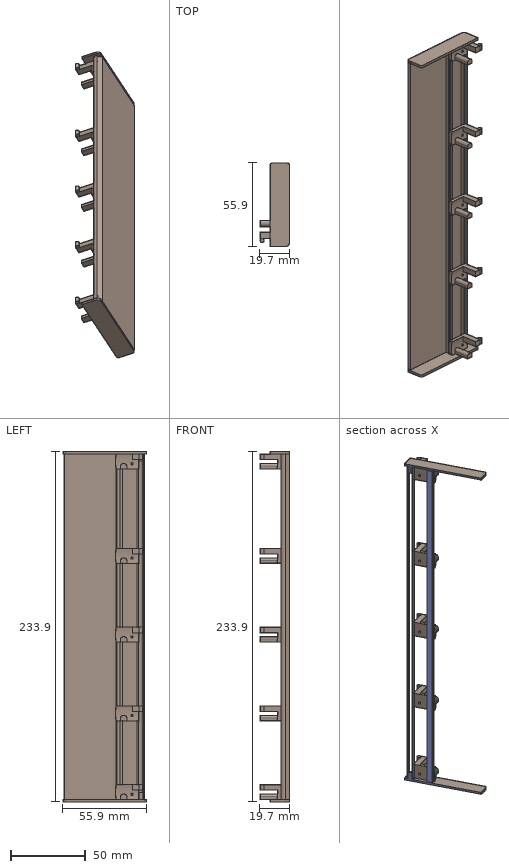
import cadquery as cq
import math

overall_length = 233.9
cap_width = 55.85
cap_depth = 13.0
cap_thickness = 1.7
cap_front_radius = 2.5
cap_rear_radius = 1.5
panel_length = overall_length - 2 * cap_thickness

panel_rear_y = 55.1
panel_back_x = 10.7
bevel_start_x = 10.3
bevel_end_y = 4.8
tip_x = 7.1

port_x = 9.5
port_y = 4.0
port_radius = 2.5
pin_diameter = 2.7
pin_length = 4.8

channel_floor_x = 9.6
lip_max_y = 6.4
step_x = 8.1
step_min_y = 16.3
rib_min_y = 17.7
rib_foot_x = 8.6
rib_hollow_x = 8.5
rib_hollow_y = 19.2
bead_radius = 0.45
bead_y = 20.1

bracket_tip_x = -6.65
bracket_height = 10.0
bracket_pitch = 52.5
even_bracket_count = 4
pad_front_x = 4.6
pad_sag = 0.4
pad_min_y = 5.3
pad_max_y = 20.5
pad_end_bulge = 0.5
arm_width = 4.3
arm_height = 3.8
knob_diameter = 2.7
knob_min_y = 2.7
peg_width = 4.3
peg_height = 3.7
peg_side_height = 2.0
peg_center_y = 15.4
hole_diameter = 1.4
hole_y = 9.9
hole_z = 3.5


def make_panel():
    """Extruded plate with a screw port, a bevelled -Y edge and the bracket channel."""
    profile = cq.Workplane("XY", origin=(0, 0, -panel_length / 2))
    bevel_start_y = port_y - math.sqrt(port_radius**2 - (bevel_start_x - port_x) ** 2)
    plate = (
        profile.moveTo(bevel_start_x, bevel_start_y)
        .lineTo(cap_depth, bevel_end_y)
        .lineTo(cap_depth, panel_rear_y)
        .lineTo(panel_back_x, panel_rear_y)
        .lineTo(panel_back_x, rib_min_y)
        .lineTo(step_x, rib_min_y)
        .lineTo(step_x, step_min_y)
        .lineTo(channel_floor_x, step_min_y)
        .lineTo(channel_floor_x, lip_max_y)
        .lineTo(tip_x, lip_max_y)
        .lineTo(tip_x, port_y)
        .lineTo(bevel_start_x, port_y)
        .close()
        .extrude(panel_length)
    )
    port = profile.center(port_x, port_y).circle(port_radius).extrude(panel_length)
    bead_x = tip_x + bead_radius
    rib = (
        profile.moveTo(cap_depth, rib_min_y)
        .lineTo(rib_foot_x, rib_min_y)
        .threePointArc((rib_hollow_x, rib_hollow_y), (bead_x, bead_y - bead_radius))
        .lineTo(bead_x, bead_y)
        .lineTo(cap_depth, bead_y)
        .close()
        .extrude(panel_length)
    )
    bead = profile.center(bead_x, bead_y).circle(bead_radius).extrude(panel_length)

    beyond_tip = profile.rect(2 * tip_x, 2 * lip_max_y).extrude(panel_length)
    bore = profile.center(port_x, port_y).circle(pin_diameter / 2).extrude(panel_length)
    opening = (
        profile.center(0, port_y - pin_diameter / 2)
        .rect(port_x, pin_diameter, centered=False)
        .extrude(panel_length)
    )
    beyond_bevel = (
        profile.moveTo(bevel_start_x, bevel_start_y)
        .lineTo(cap_depth, bevel_end_y)
        .lineTo(cap_depth, 0)
        .lineTo(bevel_start_x, 0)
        .close()
        .extrude(panel_length)
    )
    channel = (
        profile.center(0, lip_max_y)
        .rect(channel_floor_x, step_min_y - lip_max_y, centered=False)
        .extrude(panel_length)
    )
    panel = plate.union(port).union(rib).union(bead)
    for waste in (beyond_tip, bore, opening, beyond_bevel, channel):
        panel = panel.cut(waste)
    return panel


def make_cap(outer_z, inward):
    """End cap plate with rounded corners and a pin that plugs the screw port.

    `inward` is +1 or -1, the Z direction from the outer face towards the panel.
    """
    cap = (
        cq.Workplane("XY", origin=(0, 0, outer_z))
        .rect(cap_depth, cap_width, centered=False)
        .extrude(inward * cap_thickness)
    )
    cap = cap.edges("|Z and >Y").fillet(cap_rear_radius)
    cap = cap.edges("|Z and >X and <Y").fillet(cap_front_radius)
    pin = (
        cq.Workplane("XY", origin=(port_x, port_y, outer_z))
        .circle(pin_diameter / 2)
        .extrude(inward * (cap_thickness + pin_length))
    )
    return cap.union(pin)


def make_pad():
    """Thin pad that lies on the port and the rib, hollow on -X and bowed on its +Y edge."""
    middle_z = bracket_height / 2
    slab = (
        cq.Workplane("YZ", origin=(pad_front_x, 0, 0))
        .moveTo(pad_min_y, 0)
        .lineTo(pad_max_y, 0)
        .threePointArc((pad_max_y + pad_end_bulge, middle_z), (pad_max_y, bracket_height))
        .lineTo(pad_min_y, bracket_height)
        .close()
        .extrude(tip_x - pad_front_x)
    )
    hollow = (
        cq.Workplane("XZ")
        .moveTo(pad_front_x, 0)
        .threePointArc((pad_front_x + pad_sag, middle_z), (pad_front_x, bracket_height))
        .close()
        .extrude(-cap_width)
    )
    return slab.cut(hollow)


def make_bracket(bottom_z):
    """Pad with an upper arm ending in an upright knob, and a round-topped peg below."""
    arm_z = bracket_height - arm_height
    arm_end_x = pad_front_x + pad_sag
    reach = arm_end_x - bracket_tip_x
    arm = (
        cq.Workplane("XY", origin=(bracket_tip_x, pad_min_y, arm_z))
        .rect(reach, arm_width, centered=False)
        .extrude(arm_height)
    )
    knob_radius = knob_diameter / 2
    knob_center_y = knob_min_y + knob_radius
    knob = (
        cq.Workplane("XY", origin=(bracket_tip_x + knob_radius, knob_center_y, arm_z))
        .circle(knob_radius)
        .extrude(arm_height)
    )
    peg_half = peg_width / 2
    peg = (
        cq.Workplane("YZ", origin=(bracket_tip_x, peg_center_y, 0))
        .moveTo(-peg_half, 0)
        .lineTo(peg_half, 0)
        .lineTo(peg_half, peg_side_height)
        .threePointArc((0, peg_height), (-peg_half, peg_side_height))
        .close()
        .extrude(reach)
    )
    hole = (
        cq.Workplane("YZ", origin=(pad_front_x, hole_y, hole_z))
        .circle(hole_diameter / 2)
        .extrude(tip_x - pad_front_x)
    )
    bracket = make_pad().union(arm).union(knob).union(peg).cut(hole)
    return bracket.translate((0, 0, bottom_z))


panel = make_panel()
caps = [make_cap(-side * overall_length / 2, side) for side in (1, -1)]

bracket_positions = [i * bracket_pitch - panel_length / 2 for i in range(even_bracket_count)]
bracket_positions.append(panel_length / 2 - bracket_height)
brackets = [make_bracket(z) for z in bracket_positions]

result = cq.Compound.makeCompound([body.val() for body in [panel, *caps, *brackets]])